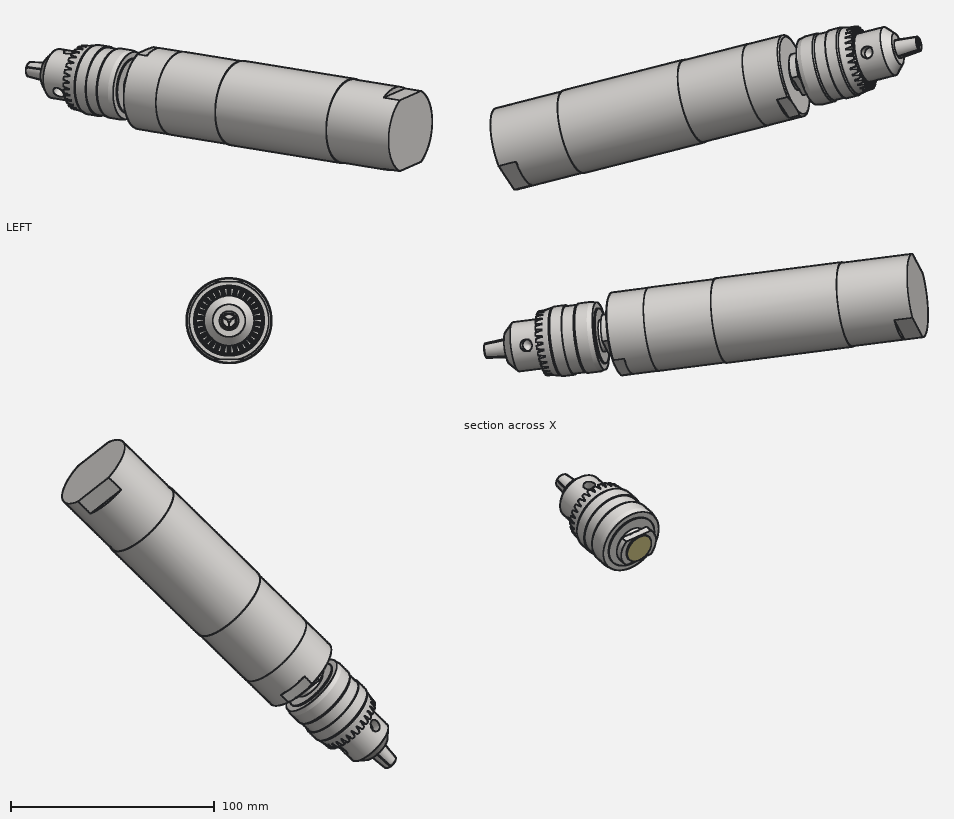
import cadquery as cq
total_length = 219.0

jaw_face_radius = 6.4 / 2
jaw_tip_radius = 3.7
jaw_tip_chamfer = 0.5
jaw_base_radius = 9.5 / 2
jaw_bore_radius = 0.75
jaw_slit_width = 0.5
jaw_slit_angles = (30, 150, 270)

nose_start = 11.4
nose_face_radius = 16.0 / 2
nose_radius = 24.5 / 2
nose_cone_end = nose_start + nose_radius - nose_face_radius
key_hole_x = 23.5
key_hole_diameter = 6.0
key_hole_depth = 5.5
key_hole_point_depth = 1.8
key_hole_angles = (90, 210, 330)

crown_start = 29.3
crown_radius = 32.0 / 2
tooth_count = 30
tooth_gap_mouth = 1.8
tooth_gap_floor = 0.5
tooth_gap_depth = 3.3

sleeve_low_radius = 33.5 / 2
sleeve_radius = 34.5 / 2
sleeve_start = 35.3
crown_flare_length = sleeve_start - crown_start
crown_flare_rise = sleeve_low_radius - crown_radius
crown_flare_radius = (crown_flare_length**2 + crown_flare_rise**2) / (2 * crown_flare_rise)
front_band_start = 36.1
waist_start = 43.0
rear_band_start = 49.7
rear_taper_start = 55.8
rear_taper_end = 57.8
sleeve_end = 58.5
band_chamfer = 0.9
back_plate_radius = 27.4 / 2
back_plate_end = 59.1

neck_start_radius = 16.0 / 2
neck_radius = 15.0 / 2
collar_start = 61.0
collar_end = 64.8
collar_radius = 21.0 / 2
collar_flat_distance = neck_radius

housing_start = 66.1
housing_face_radius = 39.0 / 2
front_cap_radius = 41.2 / 2
end_sleeve_radius = 41.5 / 2
housing_radius = 42.0 / 2
front_chamfer = 0.7
front_cap_end = 85.5
front_sleeve_end = 119.5
rear_cap_start = 183.3
front_flat_length = 6.1
front_flat_distance = 19.0
rear_flat_length = 9.2
rear_flat_distance = 18.07


def revolve_outline(outline):
    """Revolve a closed (x, radius) outline about the X axis."""
    return outline.close().revolve(360, (0, 0, 0), (1, 0, 0))


def make_chuck():
    """Jaws, nose, crown, sleeve and spindle; the crown flares into the sleeve on an arc."""
    front = [
        (0, 0),
        (0, jaw_face_radius),
        (jaw_tip_chamfer, jaw_tip_radius),
        (nose_start, jaw_base_radius),
        (nose_start, nose_face_radius),
        (nose_cone_end, nose_radius),
        (crown_start, nose_radius),
        (crown_start, crown_radius),
    ]
    rear = [
        (front_band_start, sleeve_low_radius),
        (front_band_start + band_chamfer, sleeve_radius),
        (waist_start, sleeve_radius),
        (waist_start, sleeve_low_radius),
        (rear_band_start - band_chamfer, sleeve_low_radius),
        (rear_band_start, sleeve_radius),
        (rear_taper_start, sleeve_radius),
        (rear_taper_end, sleeve_low_radius),
        (sleeve_end, sleeve_low_radius),
        (sleeve_end, back_plate_radius),
        (back_plate_end, back_plate_radius),
        (back_plate_end, neck_start_radius),
        (collar_start, neck_radius),
        (housing_start, neck_radius),
        (housing_start, 0),
    ]
    outline = (
        cq.Workplane("XY")
        .polyline(front)
        .radiusArc((sleeve_start, sleeve_low_radius), -crown_flare_radius)
        .polyline(rear, includeCurrent=True)
    )
    return revolve_outline(outline)


def make_housing():
    points = [
        (housing_start, 0),
        (housing_start, housing_face_radius),
        (housing_start + front_chamfer, front_cap_radius),
        (front_cap_end, front_cap_radius),
        (front_cap_end, end_sleeve_radius),
        (front_sleeve_end, end_sleeve_radius),
        (front_sleeve_end, housing_radius),
        (rear_cap_start, housing_radius),
        (rear_cap_start, end_sleeve_radius),
        (total_length, end_sleeve_radius),
        (total_length, 0),
    ]
    return revolve_outline(cq.Workplane("XY").polyline(points))


def cut_opposed_flats(body, start, length, distance):
    """Cut a flat on the +Z and -Z sides, at the given distance from the axis."""
    size = 2 * housing_radius
    for side in (1, -1):
        block = cq.Workplane("XY").box(length, size, size)
        body = body.cut(block.translate((start + length / 2, 0, side * (distance + size / 2))))
    return body


def make_collar():
    length = collar_end - collar_start
    collar = cq.Workplane("YZ", origin=(collar_start, 0, 0)).circle(collar_radius).extrude(length)
    return cut_opposed_flats(collar, collar_start, length, collar_flat_distance)


def split_jaws(body):
    """Cut the central bore and the three slits that separate the jaws."""
    body = body.cut(cq.Workplane("YZ").circle(jaw_bore_radius).extrude(nose_start))
    slit = cq.Workplane("XY").box(
        nose_start, jaw_base_radius * 2, jaw_slit_width, centered=(False, False, True)
    )
    for angle in jaw_slit_angles:
        body = body.cut(slit.rotate((0, 0, 0), (1, 0, 0), angle))
    return body


def cut_key_holes(body):
    """Drill the blind key holes, each with a conical bottom, square to the axis."""
    floor = nose_radius - key_hole_depth
    hole_radius = key_hole_diameter / 2
    drill = (
        cq.Workplane("XY")
        .polyline([
            (key_hole_x, floor - key_hole_point_depth),
            (key_hole_x + hole_radius, floor),
            (key_hole_x + hole_radius, nose_radius),
            (key_hole_x, nose_radius),
        ])
        .close()
        .revolve(360, (key_hole_x, 0, 0), (key_hole_x, 1, 0))
    )
    for angle in key_hole_angles:
        body = body.cut(drill.rotate((0, 0, 0), (1, 0, 0), angle))
    return body


def cut_crown_teeth(body):
    """Cut radial tapered gaps into the front face of the crown."""
    gap = (
        cq.Workplane("XZ", origin=(crown_start, -nose_radius, 0))
        .moveTo(0, -tooth_gap_mouth / 2)
        .lineTo(tooth_gap_depth, -tooth_gap_floor / 2)
        .lineTo(tooth_gap_depth, tooth_gap_floor / 2)
        .lineTo(0, tooth_gap_mouth / 2)
        .close()
        .extrude(sleeve_radius - nose_radius)
    )
    for index in range(tooth_count):
        body = body.cut(gap.rotate((0, 0, 0), (1, 0, 0), (index + 0.5) * 360 / tooth_count))
    return body


chuck = cut_crown_teeth(cut_key_holes(split_jaws(make_chuck())))
housing = cut_opposed_flats(make_housing(), housing_start, front_flat_length, front_flat_distance)
housing = cut_opposed_flats(housing, total_length - rear_flat_length, rear_flat_length, rear_flat_distance)
result = chuck.union(make_collar()).union(housing)